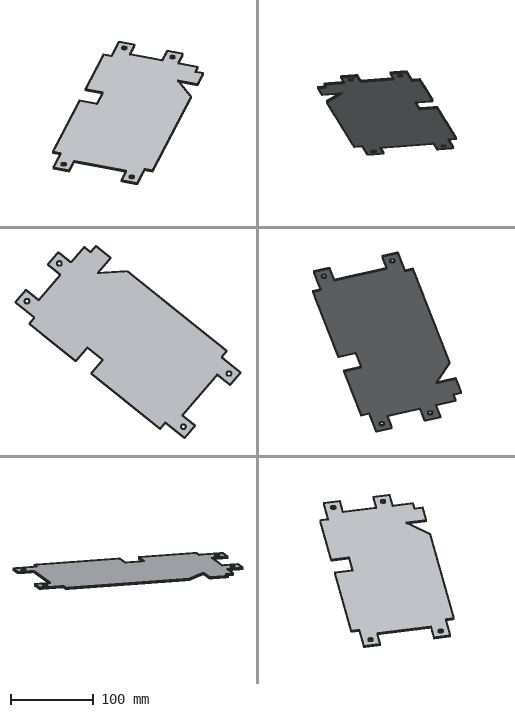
import cadquery as cq

length = 265.0
width = 126.0
thickness = 2.0

tab_width = 20.0
tab_length = 20.0
hole_diameter = 5.8
hole_end_distance = 10.0

step_width = 10.0
step_length = 10.0

far_tab_right_inset = 35.0

left_notch_depth = 22.0
left_notch_length = 24.0
left_notch_start = 138.0

right_notch_depth = 24.7
right_notch_length = 26.1
right_notch_far_edge = 211.8

near_body_edge = tab_length
far_body_edge = length - tab_length
near_step_edge = near_body_edge + step_length
far_step_edge = far_body_edge - step_length

left_tab_x = step_width
near_right_tab_x = width - step_width - tab_width
far_right_tab_x = width - far_tab_right_inset - tab_width


def block(x, y, size_x, size_y):
    """Block of sheet thickness with its lower left corner at (x, y)."""
    return cq.Workplane("XY").box(size_x, size_y, thickness, centered=False).translate((x, y, 0))


def body():
    """Full-width sheet with a narrower band at each end."""
    wide_part = block(0, near_step_edge, width, far_step_edge - near_step_edge)
    narrow_part = block(step_width, near_body_edge, width - 2 * step_width, far_body_edge - near_body_edge)
    return wide_part.union(narrow_part)


def tab(x, y):
    """Mounting tab with its lower left corner at (x, y)."""
    return block(x, y, tab_width, tab_length)


def tab_hole(x, y):
    """Cutter for a through hole centred across the tab whose left edge is at x."""
    center = (x + tab_width / 2, y)
    return cq.Workplane("XY").center(*center).circle(hole_diameter / 2).extrude(thickness)


def left_notch():
    """Cutter for the rectangular notch."""
    return block(0, left_notch_start, left_notch_depth, left_notch_length)


def right_notch():
    """Cutter for the triangular notch."""
    corners = [
        (width, right_notch_far_edge),
        (width - right_notch_depth, right_notch_far_edge),
        (width, right_notch_far_edge - right_notch_length),
    ]
    return cq.Workplane("XY").polyline(corners).close().extrude(thickness)


plate = body()
for tab_x in (left_tab_x, near_right_tab_x):
    plate = plate.union(tab(tab_x, 0))
    plate = plate.cut(tab_hole(tab_x, hole_end_distance))
for tab_x in (left_tab_x, far_right_tab_x):
    plate = plate.union(tab(tab_x, far_body_edge))
    plate = plate.cut(tab_hole(tab_x, length - hole_end_distance))

plate = plate.cut(left_notch()).cut(right_notch())

result = plate.translate((-width / 2, -length / 2, 0)).clean()